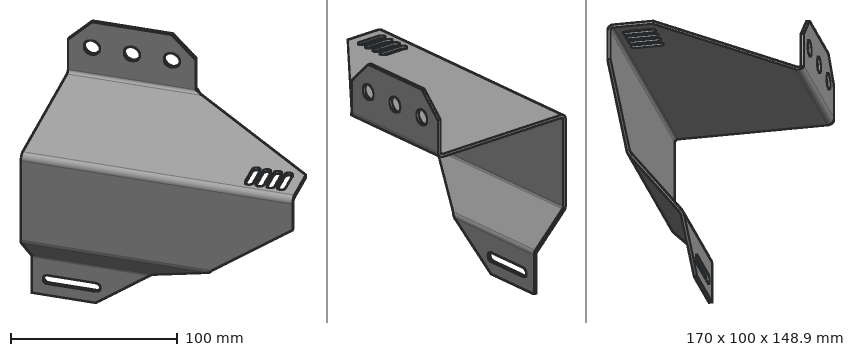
import cadquery as cq
import math

thickness = 2.0
inner_radius = 2.0
outer_radius = inner_radius + thickness
middle_radius = inner_radius + thickness / 2
neutral_factor = 0.3
neutral_radius = inner_radius + neutral_factor * thickness

length = 170.0
depth = 100.0
height = 148.93

back_flange_length = 80.0
back_flange_height = 40.0
corner_cut = 15.0
bolt_hole_diameter = 10.0
bolt_hole_pitch = 25.0
bolt_hole_drop = 18.0

front_wall_height = 60.0
jog_angle = 45.0
foot_offset = 23.0
foot_length = 40.0

shelf_end_width = 28.0
front_wall_end_height = 22.5

foot_slot_length = 36.0
foot_slot_width = 6.0
foot_slot_x = 25.0
foot_slot_rise = 11.0

vent_count = 4
vent_length = 20.0
vent_width = 5.0
vent_pitch = 6.75
vent_row_x = 150.0
vent_row_y = 17.5

jog_rad = math.radians(jog_angle)
jog_bend_setback = (outer_radius + inner_radius) * (1 - math.cos(jog_rad))
slant_straight = (foot_offset - jog_bend_setback) / math.sin(jog_rad)
slant_rise = slant_straight * math.cos(jog_rad) + (outer_radius + inner_radius) * math.sin(jog_rad)
shelf_top_z = height - back_flange_height + thickness
back_flange_straight = back_flange_height - outer_radius
shelf_straight = depth - 2 * outer_radius
front_wall_straight = front_wall_height - outer_radius
foot_straight = shelf_top_z - front_wall_height - slant_rise

straights = [back_flange_straight, shelf_straight, front_wall_straight, slant_straight, foot_straight]
bends = [90.0, -90.0, -jog_angle, jog_angle]


def bend_arc(angle):
    """Length of blank taken up by a bend."""
    return neutral_radius * math.radians(abs(angle))


blank_length = sum(straights) + sum(bend_arc(angle) for angle in bends)
shelf_end = back_flange_straight + bend_arc(bends[0]) + shelf_straight
front_wall_start = shelf_end + bend_arc(bends[1])
free_edge = [
    (0, back_flange_length - corner_cut),
    (corner_cut, back_flange_length),
    (back_flange_straight, back_flange_length),
    (shelf_end - (shelf_end_width - outer_radius), length),
    (front_wall_start + front_wall_end_height - outer_radius, length),
    (blank_length, foot_length),
]

tolerance = 0.001


def free_edge_x(distance):
    """X of the free edge at a distance along the sheet."""
    for (start, start_x), (end, end_x) in zip(free_edge, free_edge[1:]):
        if distance <= end:
            return start_x + (end_x - start_x) * (distance - start) / (end - start)
    return free_edge[-1][1]


def direction(heading):
    """Unit (Y, Z) vector along the sheet; heading 0 is straight down, 90 is towards -Y."""
    angle = math.radians(heading)
    return -math.sin(angle), -math.cos(angle)


def straight_piece(start, heading, distance, span):
    """Flat piece of sheet that follows the free edge of the blank."""
    along_y, along_z = direction(heading)
    plane = cq.Plane(origin=(0, *start), xDir=(1, 0, 0), normal=(0, -along_z, along_y))
    corners = [(x, s - distance) for s, x in free_edge if tolerance < s - distance < span - tolerance]
    outline = [
        (0, 0),
        (free_edge_x(distance), 0),
        *corners,
        (free_edge_x(distance + span), span),
        (0, span),
    ]
    return cq.Workplane(plane).polyline(outline).close().extrude(thickness / 2, both=True)


def ring_sector(plane, small_radius, large_radius, start_angle, end_angle):
    """Outline of a piece of ring about the plane's origin, between two angles in degrees."""

    def point(radius, angle):
        return radius * math.cos(math.radians(angle)), radius * math.sin(math.radians(angle))

    middle_angle = (start_angle + end_angle) / 2
    return (
        cq.Workplane(plane)
        .moveTo(*point(small_radius, start_angle))
        .lineTo(*point(large_radius, start_angle))
        .threePointArc(point(large_radius, middle_angle), point(large_radius, end_angle))
        .lineTo(*point(small_radius, end_angle))
        .threePointArc(point(small_radius, middle_angle), point(small_radius, start_angle))
        .close()
    )


def bend_piece(center, heading, angle, start_x, end_x):
    """Curved piece of sheet whose free edge climbs steadily from start_x to end_x round the bend."""
    start_angle = -heading + (0 if angle > 0 else 180)
    end_angle = start_angle - angle
    full_x = max(start_x, end_x)
    short_x = min(start_x, end_x)
    base = cq.Plane(origin=(0, *center), xDir=(0, 1, 0), normal=(1, 0, 0))
    piece = ring_sector(base, inner_radius, outer_radius, start_angle, end_angle).extrude(full_x)
    if full_x - short_x < tolerance:
        return piece
    widening = end_x > start_x
    waste_start = start_angle + angle if widening else end_angle
    waste_end = start_angle if widening else end_angle - angle
    twist = -angle if widening else angle
    waste_plane = cq.Plane(origin=(short_x, *center), xDir=(0, 1, 0), normal=(1, 0, 0))
    clearance = inner_radius / 2
    waste = ring_sector(
        waste_plane, inner_radius - clearance, outer_radius + clearance, waste_start, waste_end
    ).twistExtrude(full_x - short_x, twist)
    return piece.cut(waste)


def folded_sheet():
    """Follows the middle of the sheet from the top edge down, joining straights and bends."""
    y = depth - thickness / 2
    z = height
    heading = 0.0
    distance = 0.0
    pieces = []
    for span, angle in zip(straights, [*bends, 0.0]):
        pieces.append(straight_piece((y, z), heading, distance, span))
        along_y, along_z = direction(heading)
        y += along_y * span
        z += along_z * span
        distance += span
        if angle == 0:
            continue
        side = math.copysign(middle_radius, angle)
        center_y = y + along_z * side
        center_z = z - along_y * side
        arc = bend_arc(angle)
        edge_start = free_edge_x(distance)
        edge_end = free_edge_x(distance + arc)
        pieces.append(bend_piece((center_y, center_z), heading, angle, edge_start, edge_end))
        heading += angle
        distance += arc
        along_y, along_z = direction(heading)
        y = center_y - along_z * side
        z = center_z + along_y * side
    sheet = pieces[0]
    for piece in pieces[1:]:
        sheet = sheet.union(piece)
    corner = (
        cq.Workplane("XZ", origin=(0, depth, 0))
        .polyline([(0, height), (corner_cut, height), (0, height - corner_cut)])
        .close()
        .extrude(thickness)
    )
    return sheet.cut(corner)


def bolt_holes():
    middle_x = back_flange_length / 2
    centers = [(middle_x + i * bolt_hole_pitch, height - bolt_hole_drop) for i in (-1, 0, 1)]
    return (
        cq.Workplane("XZ", origin=(0, depth, 0))
        .pushPoints(centers)
        .circle(bolt_hole_diameter / 2)
        .extrude(thickness)
    )


def foot_slot():
    return (
        cq.Workplane("XZ", origin=(0, foot_offset + thickness, 0))
        .center(foot_slot_x, foot_slot_rise)
        .slot2D(foot_slot_length, foot_slot_width)
        .extrude(thickness)
    )


def vent_slots():
    return (
        cq.Workplane("XY", origin=(vent_row_x, vent_row_y, shelf_top_z - thickness))
        .rarray(vent_pitch, 1, vent_count, 1)
        .slot2D(vent_length, vent_width, 90)
        .extrude(thickness)
    )


result = folded_sheet().cut(bolt_holes()).cut(foot_slot()).cut(vent_slots())